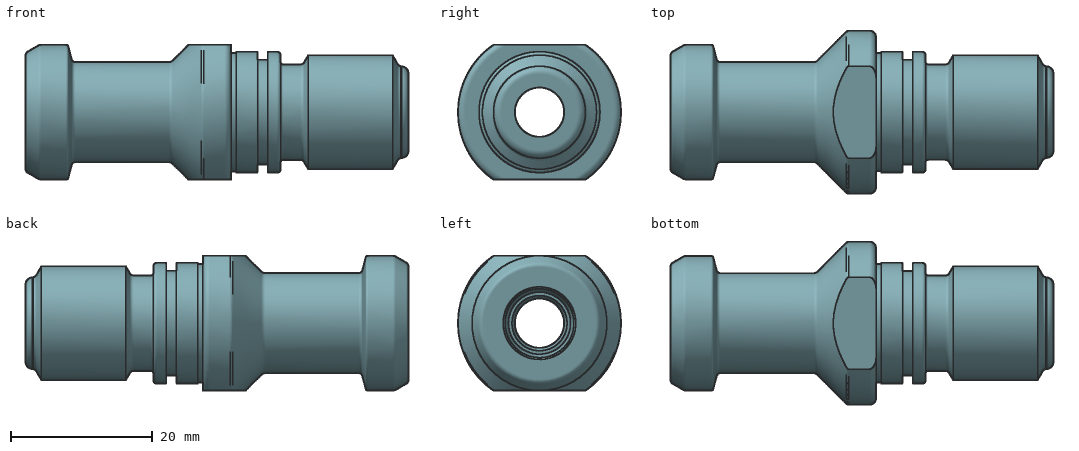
import cadquery as cq
import math

LENGTH = 54.0

HEAD_RADIUS = 9.5
HEAD_CHAMFER_LENGTH = 2.0
HEAD_CHAMFER_ANGLE = 30.0
HEAD_BACK_X = 6.0
HEAD_BACK_ANGLE = 15.0
HEAD_FRONT_ROUND = 0.7
HEAD_BACK_ROUND = 0.3
HEAD_FOOT_FILLET = 0.5

SHANK_RADIUS = 7.1
FLANGE_RADIUS = 11.5
FLANGE_CONE_END = 24.95
FLANGE_END = 29.0
FLANGE_FLAT_WIDTH = 19.0
CONE_FOOT_FILLET = 0.7
CONE_TOP_ROUND = 0.5
FLANGE_END_ROUND = 0.95

RELIEF_RADIUS = 8.35
COLLAR_RADIUS = 8.55
COLLAR_START = 29.7
GROOVE_START = 32.7
GROOVE_END = 34.15
GROOVE_RADIUS = 7.4
GROOVE_EDGE_ROUND = 0.15
RING_END = 35.95
RING_END_ROUND = 0.5

NECK_RADIUS = 6.75
NECK_START_FILLET = 0.3
BARREL_RADIUS = 8.05
BARREL_START = 39.85
BARREL_END = 51.75
BARREL_CHAMFER_ANGLE = 60.0
BARREL_FOOT_FILLET = 0.55
TIP_RADIUS = 6.5
TIP_FOOT_FILLET = 0.65
TIP_ROUND = 1.1

BORE_RADIUS = 3.45
MOUTH_ANGLE = 15.0
THROAT_ANGLE = 20.0
MOUTH_INNER_RADIUS = 4.4
MOUTH_CHAMFER = 0.25
MOUTH_END = 2.05
CHAMBER_RADIUS = 5.9
CHAMBER_END = 4.2
THROAT_RADIUS = 3.9


def tan_deg(angle):
    return math.tan(math.radians(angle))


def rounded_outline(corners):
    """Close an outline of (x, radius, rounding) corners, with a tangent arc at each rounded one."""
    outline = cq.Workplane("XY").moveTo(*corners[0][:2])
    for before, corner, after in zip(corners, corners[1:], corners[2:]):
        point = cq.Vector(*corner[:2])
        rounding = corner[2]
        if rounding == 0:
            outline = outline.lineTo(point.x, point.y)
            continue
        back = (cq.Vector(*before[:2]) - point).normalized()
        ahead = (cq.Vector(*after[:2]) - point).normalized()
        half_angle = back.getAngle(ahead) / 2
        tangent_length = rounding / math.tan(half_angle)
        bisector = (back + ahead).normalized()
        start = point + back * tangent_length
        middle = point + bisector * (rounding / math.sin(half_angle) - rounding)
        end = point + ahead * tangent_length
        outline = outline.lineTo(start.x, start.y)
        outline = outline.threePointArc((middle.x, middle.y), (end.x, end.y))
    return outline.lineTo(*corners[-1][:2]).close()


def revolve_about_x(outline):
    return outline.revolve(360, (0, 0, 0), (1, 0, 0))


def make_body():
    face_radius = HEAD_RADIUS - HEAD_CHAMFER_LENGTH * tan_deg(HEAD_CHAMFER_ANGLE)
    head_foot_x = HEAD_BACK_X + (HEAD_RADIUS - SHANK_RADIUS) * tan_deg(HEAD_BACK_ANGLE)
    cone_start = FLANGE_CONE_END - (FLANGE_RADIUS - SHANK_RADIUS)
    neck_end = BARREL_START - (BARREL_RADIUS - NECK_RADIUS) / tan_deg(BARREL_CHAMFER_ANGLE)
    tip_start = BARREL_END + (BARREL_RADIUS - TIP_RADIUS) / tan_deg(BARREL_CHAMFER_ANGLE)
    head = [
        (0, 0, 0),
        (0, face_radius, HEAD_FRONT_ROUND),
        (HEAD_CHAMFER_LENGTH, HEAD_RADIUS, HEAD_FRONT_ROUND),
        (HEAD_BACK_X, HEAD_RADIUS, HEAD_BACK_ROUND),
        (head_foot_x, SHANK_RADIUS, HEAD_FOOT_FILLET),
    ]
    flange = [
        (cone_start, SHANK_RADIUS, CONE_FOOT_FILLET),
        (FLANGE_CONE_END, FLANGE_RADIUS, CONE_TOP_ROUND),
        (FLANGE_END, FLANGE_RADIUS, FLANGE_END_ROUND),
        (FLANGE_END, RELIEF_RADIUS, 0),
    ]
    collar_and_ring = [
        (COLLAR_START, RELIEF_RADIUS, 0),
        (COLLAR_START, COLLAR_RADIUS, 0),
        (GROOVE_START, COLLAR_RADIUS, GROOVE_EDGE_ROUND),
        (GROOVE_START, GROOVE_RADIUS, 0),
        (GROOVE_END, GROOVE_RADIUS, 0),
        (GROOVE_END, COLLAR_RADIUS, GROOVE_EDGE_ROUND),
        (RING_END, COLLAR_RADIUS, RING_END_ROUND),
    ]
    neck_and_barrel = [
        (RING_END, NECK_RADIUS, NECK_START_FILLET),
        (neck_end, NECK_RADIUS, BARREL_FOOT_FILLET),
        (BARREL_START, BARREL_RADIUS, 0),
        (BARREL_END, BARREL_RADIUS, 0),
        (tip_start, TIP_RADIUS, TIP_FOOT_FILLET),
        (LENGTH, TIP_RADIUS, TIP_ROUND),
        (LENGTH, 0, 0),
    ]
    return revolve_about_x(rounded_outline(head + flange + collar_and_ring + neck_and_barrel))


def make_bore():
    mouth_outer_radius = MOUTH_INNER_RADIUS + (MOUTH_END - MOUTH_CHAMFER) * tan_deg(MOUTH_ANGLE)
    throat_end = CHAMBER_END + (THROAT_RADIUS - BORE_RADIUS) / tan_deg(THROAT_ANGLE)
    corners = [
        (0, 0),
        (0, mouth_outer_radius + MOUTH_CHAMFER),
        (MOUTH_CHAMFER, mouth_outer_radius),
        (MOUTH_END, MOUTH_INNER_RADIUS),
        (MOUTH_END, CHAMBER_RADIUS),
        (CHAMBER_END, CHAMBER_RADIUS),
        (CHAMBER_END, THROAT_RADIUS),
        (throat_end, BORE_RADIUS),
        (LENGTH, BORE_RADIUS),
        (LENGTH, 0),
    ]
    return revolve_about_x(cq.Workplane("XY").polyline(corners).close())


def make_flat_limits():
    """Block whose top and bottom faces trim the two wrench flats on the flange."""
    block = cq.Workplane("XY").box(LENGTH, 2 * FLANGE_RADIUS, FLANGE_FLAT_WIDTH)
    return block.translate((LENGTH / 2, 0, 0))


result = make_body().intersect(make_flat_limits()).cut(make_bore())